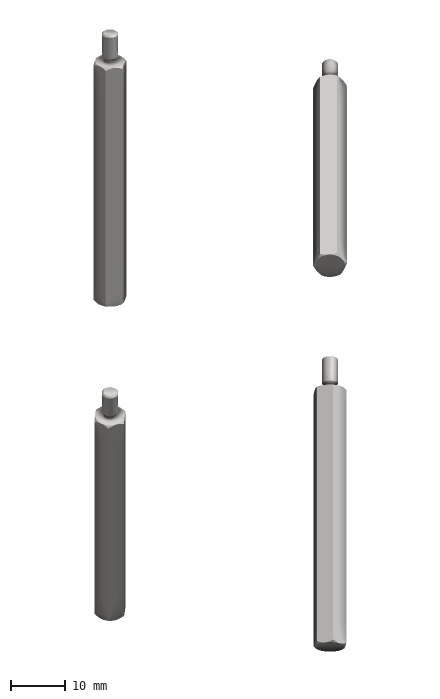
import cadquery as cq
import math

total_length = 56.0
stud_length = 6.0
hex_length = total_length - stud_length
hex_across_flats = 5.5
hex_across_corners = hex_across_flats / math.cos(math.radians(30))
end_face_diameter = hex_across_flats
corner_chamfer = (hex_across_corners - end_face_diameter) / 2

stud_diameter = 3.0
tip_diameter = 2.45
tip_chamfer = (stud_diameter - tip_diameter) / 2
neck_diameter = 2.2
relief_length = 1.2
relief_taper = 0.6
root_fillet = 0.15


def make_hex_body():
    """Hexagonal bar with its corners turned to 45 degree cones at both ends."""
    bar = cq.Workplane("XY").polygon(6, hex_across_corners).extrude(hex_length)
    turning_envelope = (
        cq.Workplane("XY")
        .circle(hex_across_corners / 2)
        .extrude(hex_length)
        .edges()
        .chamfer(corner_chamfer)
    )
    return bar.intersect(turning_envelope)


def make_stud():
    """Revolved stud with a filleted root, a thread relief and a chamfered tip."""
    neck_radius = neck_diameter / 2
    stud_radius = stud_diameter / 2
    relief_top = hex_length + relief_length
    fillet_center = (neck_radius + root_fillet, hex_length + root_fillet)
    fillet_offset = root_fillet * math.cos(math.radians(45))
    fillet_middle = (fillet_center[0] - fillet_offset, fillet_center[1] - fillet_offset)
    return (
        cq.Workplane("XZ")
        .moveTo(0, hex_length)
        .lineTo(fillet_center[0], hex_length)
        .threePointArc(fillet_middle, (neck_radius, fillet_center[1]))
        .lineTo(neck_radius, relief_top - relief_taper)
        .lineTo(stud_radius, relief_top)
        .lineTo(stud_radius, total_length - tip_chamfer)
        .lineTo(tip_diameter / 2, total_length)
        .lineTo(0, total_length)
        .close()
        .revolve(360, (0, 0, 0), (0, 1, 0))
    )


result = make_hex_body().union(make_stud())